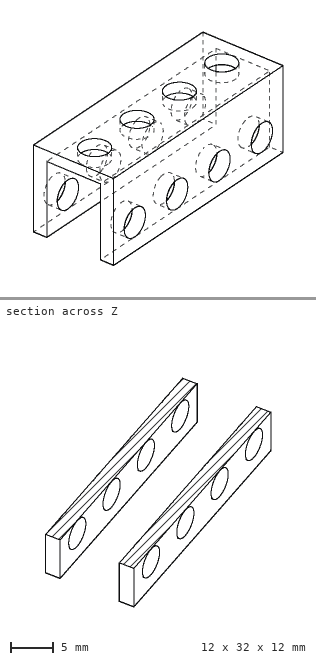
import cadquery as cq

pitch = 8.0
hole_count = 4
top_thickness = 1.5

length = pitch * hole_count
width = 1.5 * pitch
height = width
wall_thickness = pitch / 4
hole_diameter = pitch / 2
side_hole_height = pitch / 2

hole_positions = [(i - (hole_count - 1) / 2) * pitch for i in range(hole_count)]


def channel():
    """U-shaped channel along Y, open at the bottom and both ends."""
    block = cq.Workplane("XY").box(width, length, height, centered=(True, True, False))
    cavity = cq.Workplane("XY").box(
        width - 2 * wall_thickness,
        length,
        height - top_thickness,
        centered=(True, True, False),
    )
    return block.cut(cavity)


def top_holes():
    """Cylinders along Z for the row of holes in the top web."""
    points = [(0, y) for y in hole_positions]
    return cq.Workplane("XY").pushPoints(points).circle(hole_diameter / 2).extrude(height)


def side_holes():
    """Cylinders along X for the aligned holes through both side walls."""
    points = [(y, side_hole_height) for y in hole_positions]
    return cq.Workplane("YZ").pushPoints(points).circle(hole_diameter / 2).extrude(width / 2, both=True)


result = channel().cut(top_holes()).cut(side_holes())